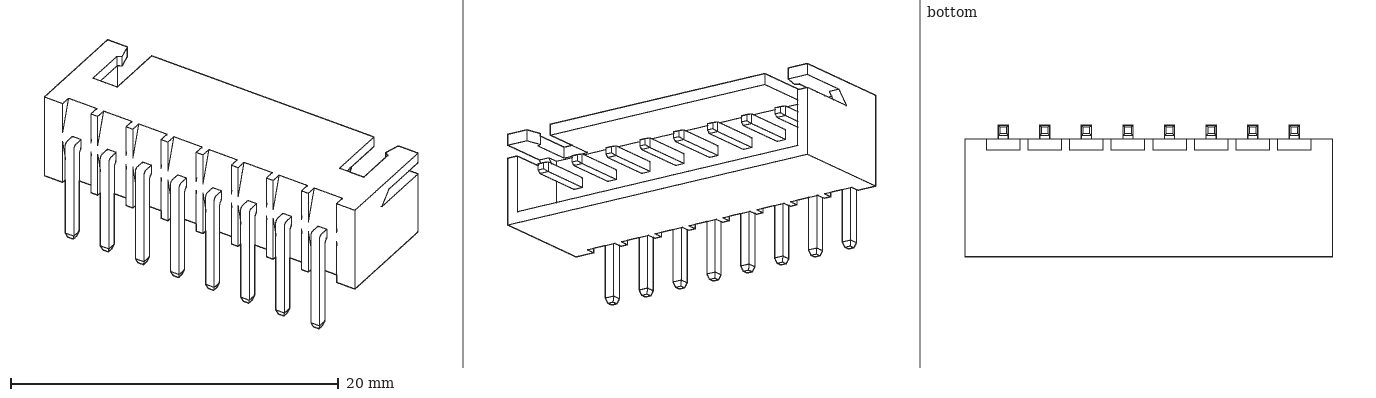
import cadquery as cq


length = 22.45
depth = 7.2
height = 5.88
side_wall = 0.72
top_wall = 0.72
bottom_wall = 0.72
cavity_depth = 4.13

pin_count = 8
pitch = 2.54
pin_width = 0.63
pin_top = height - 2.18
pin_front = -0.83
pin_bottom = -3.35
pin_rear = depth - 0.2
bend_outer_radius = 0.25
bend_inner_radius = 0.34
tip_length = 0.34
tip_inset = 0.11

pocket_width = 2.05
pocket_depth = 0.67
upper_pocket_height = 2.15
lower_pocket_height = 3.05

side_slot_height = 0.83
side_slot_roof_length = 3.32

latch_outer_x = 1.44
latch_inner_x = 3.19
latch_slot_length = 3.93
hook_reach = 0.27
hook_tip_distance = 1.03
hook_end_distance = 1.2

pin_positions = [length / 2 + (i - (pin_count - 1) / 2) * pitch for i in range(pin_count)]


def extrude_yz(points, x_start, width):
    """Extrude a closed YZ outline along +X."""
    return cq.Workplane("YZ", origin=(x_start, 0, 0)).polyline(points).close().extrude(width)


def make_shell():
    block = cq.Workplane("XY").box(length, depth, height, centered=False)
    cavity = cq.Workplane("XY").box(
        length - 2 * side_wall,
        cavity_depth,
        height - top_wall - bottom_wall,
        centered=False,
    )
    return block.cut(cavity.translate((side_wall, depth - cavity_depth, bottom_wall)))


def make_side_slots():
    """Slot level with the cavity roof, ending in a slanted face."""
    roof = height - top_wall
    floor = roof - side_slot_height
    outline = [
        (depth, roof),
        (depth - side_slot_roof_length, roof),
        (depth - cavity_depth, floor),
        (depth, floor),
    ]
    return extrude_yz(outline, 0, length)


def make_latch_slots():
    """Mirrored pair of slots in the top wall, each with a snap hook on its outer edge."""
    outline = [
        (latch_outer_x, depth),
        (latch_outer_x + hook_reach, depth - hook_tip_distance),
        (latch_outer_x, depth - hook_end_distance),
        (latch_outer_x, depth - latch_slot_length),
        (latch_inner_x, depth - latch_slot_length),
        (latch_inner_x, depth),
    ]
    roof_plane = cq.Workplane("XY", origin=(0, 0, height - top_wall))
    left = roof_plane.polyline(outline).close().extrude(top_wall)
    return left.union(left.mirror("YZ", (length / 2, 0, 0)))


def make_pockets(x):
    """Wedges that are deepest at the top and bottom faces and run out towards the pin."""
    start = x - pocket_width / 2
    upper = [(0, height), (pocket_depth, height), (0, height - upper_pocket_height)]
    lower = [(0, 0), (pocket_depth, 0), (0, lower_pocket_height)]
    return extrude_yz(upper, start, pocket_width).union(extrude_yz(lower, start, pocket_width))


def make_tip(plane):
    """Tapered square end, growing along the plane's normal."""
    end_width = pin_width - 2 * tip_inset
    return (
        plane.rect(pin_width, pin_width)
        .workplane(offset=tip_length)
        .rect(end_width, end_width)
        .loft(combine=True)
    )


def make_pin(x):
    rear = pin_rear - tip_length
    bottom = pin_bottom + tip_length
    leg_rear = pin_front + pin_width
    underside = pin_top - pin_width
    outline = [
        (rear, pin_top),
        (pin_front, pin_top),
        (pin_front, bottom),
        (leg_rear, bottom),
        (leg_rear, underside),
        (rear, underside),
    ]
    bar = extrude_yz(outline, x - pin_width / 2, pin_width)
    bar = bar.edges(cq.selectors.NearestToPointSelector((x, pin_front, pin_top))).fillet(bend_outer_radius)
    bar = bar.edges(cq.selectors.NearestToPointSelector((x, leg_rear, underside))).fillet(bend_inner_radius)

    leg_end = cq.Workplane("XY", origin=(x, pin_front + pin_width / 2, bottom))
    contact_end = cq.Workplane("XZ", origin=(x, rear, pin_top - pin_width / 2))
    lower_tip = make_tip(leg_end.transformed(rotate=(180, 0, 0)))
    rear_tip = make_tip(contact_end.transformed(rotate=(180, 0, 0)))
    return bar.union(lower_tip).union(rear_tip)


result = make_shell().cut(make_side_slots()).cut(make_latch_slots())
for pin_x in pin_positions:
    result = result.cut(make_pockets(pin_x))
for pin_x in pin_positions:
    result = result.union(make_pin(pin_x))